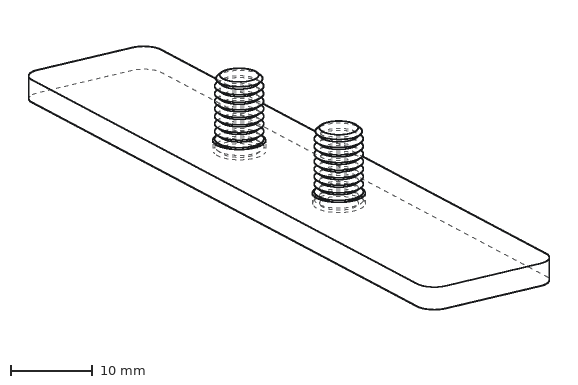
import cadquery as cq

PLATE_LENGTH = 90.0
PLATE_WIDTH = 19.0
PLATE_THICKNESS = 3.0
CORNER_RADIUS = 2.5

STUD_SPACING = 22.0
STUD_POSITIONS = [-STUD_SPACING / 2, STUD_SPACING / 2]
STUD_TOP = 11.5
CREST_RADIUS = 6.0 / 2
ROOT_RADIUS = 4.8 / 2
PITCH = 1.0
RIDGE_COUNT = 10
TIP_CREST_RADIUS = 5.8 / 2
TIP_TO_FIRST_CREST = 0.45
STUD_LENGTH = TIP_TO_FIRST_CREST + (RIDGE_COUNT - 0.5) * PITCH

HOLE_DIAMETER = 6.5
HOLE_DEPTH = STUD_LENGTH - (STUD_TOP - PLATE_THICKNESS)


def make_plate():
    """Flat bar with rounded vertical corners and two blind holes, its underside at Z = 0."""
    bar = (
        cq.Workplane("XY")
        .box(PLATE_LENGTH, PLATE_WIDTH, PLATE_THICKNESS, centered=(True, True, False))
        .edges("|Z")
        .fillet(CORNER_RADIUS)
    )
    hole_centers = [(x, 0) for x in STUD_POSITIONS]
    top_plane = bar.faces(">Z").workplane(origin=(0, 0, 0))
    return top_plane.pushPoints(hole_centers).circle(HOLE_DIAMETER / 2).cutBlind(-HOLE_DEPTH)


def make_stud(x):
    """Stud with a thread of sharp ring-shaped ridges, revolved about its axis."""
    profile = cq.Workplane("XZ").moveTo(0, STUD_TOP).lineTo(ROOT_RADIUS, STUD_TOP)
    for ridge in range(RIDGE_COUNT):
        crest_radius = TIP_CREST_RADIUS if ridge == 0 else CREST_RADIUS
        crest_height = STUD_TOP - TIP_TO_FIRST_CREST - ridge * PITCH
        profile = profile.lineTo(crest_radius, crest_height)
        profile = profile.lineTo(ROOT_RADIUS, crest_height - PITCH / 2)
    profile = profile.lineTo(0, STUD_TOP - STUD_LENGTH).close()
    stud = profile.revolve(360, (0, 0, 0), (0, 1, 0))
    return stud.translate((x, 0, 0))


plate = make_plate()
studs = [make_stud(x) for x in STUD_POSITIONS]

result = cq.Compound.makeCompound([plate.val(), *[stud.val() for stud in studs]])